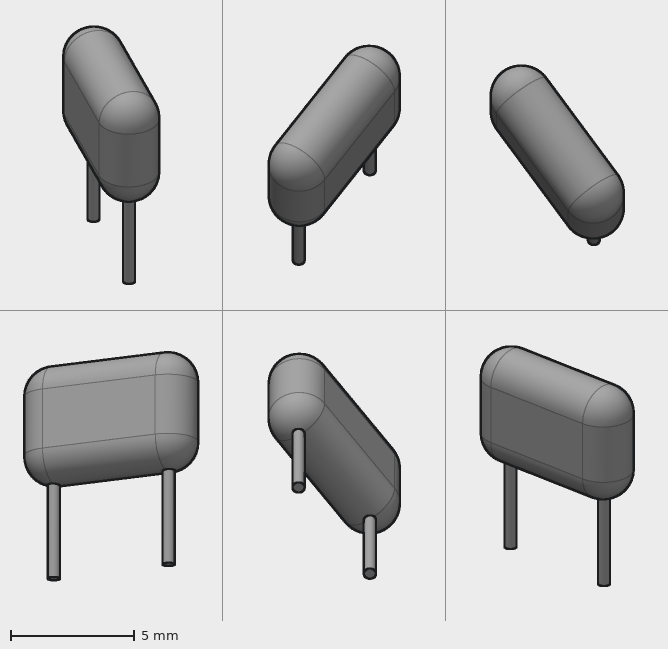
import cadquery as cq

total_height = 8.94
body_length = 7.5
body_thickness = 2.5
body_height = 5.01

lead_diameter = 0.5
lead_spacing = 5.09
lead_embed = 0.5

round_radius = body_thickness / 2
core_length = body_length - body_thickness
core_height = body_height - body_thickness
lead_length = total_height - body_height

low_round_z = round_radius
high_round_z = body_height - round_radius
side_signs = (-1, 1)


def make_lead(x, top_z):
    """Straight round wire from the lead tip up to top_z."""
    return (
        cq.Workplane("XY", origin=(x, 0, -lead_length))
        .circle(lead_diameter / 2)
        .extrude(lead_length + top_z)
    )


def make_rounded_block():
    """Flat-sided block with half-round edges and spherical corners."""
    block = cq.Workplane("XY", origin=(0, 0, body_height / 2)).box(
        core_length, body_thickness, core_height
    )
    for z in (low_round_z, high_round_z):
        long_edge = (
            cq.Workplane("YZ", origin=(-core_length / 2, 0, z))
            .circle(round_radius)
            .extrude(core_length)
        )
        block = block.union(long_edge)
    for side in side_signs:
        x = side * core_length / 2
        end_edge = (
            cq.Workplane("XY", origin=(x, 0, low_round_z))
            .circle(round_radius)
            .extrude(core_height)
        )
        block = block.union(end_edge)
        for z in (low_round_z, high_round_z):
            corner = cq.Workplane("XY", origin=(x, 0, z)).sphere(round_radius)
            block = block.union(corner)
    return block


leads = [make_lead(side * lead_spacing / 2, lead_embed) for side in side_signs]

body = make_rounded_block()
for lead in leads:
    body = body.cut(lead)

result = cq.Compound.makeCompound([body.solids().val(), *[lead.val() for lead in leads]])